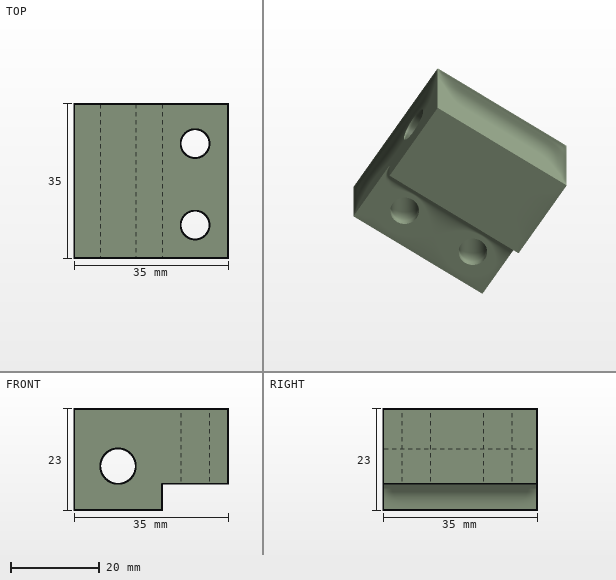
import cadquery as cq

length = 35.0
width = 35.0
height = 23.0

foot_length = 20.0
step_height = 6.0

bore_diameter = 8.0
bore_x = foot_length / 2
bore_z = 10.0

bolt_diameter = 6.5
bolt_x = (foot_length + length) / 2
first_bolt_y = 7.5
bolt_spacing = 18.5


def stepped_block():
    """L-shaped profile in the XZ plane, extruded across the width."""
    return (
        cq.Workplane("XZ")
        .moveTo(0, 0)
        .lineTo(foot_length, 0)
        .lineTo(foot_length, step_height)
        .lineTo(length, step_height)
        .lineTo(length, height)
        .lineTo(0, height)
        .close()
        .extrude(-width)
    )


def cross_bore():
    """Cylinder running through the full width along Y."""
    return (
        cq.Workplane("XZ")
        .center(bore_x, bore_z)
        .circle(bore_diameter / 2)
        .extrude(-width)
    )


def bolt_holes():
    """Pair of vertical cylinders running through the full height."""
    centres = [(bolt_x, first_bolt_y + i * bolt_spacing) for i in range(2)]
    return (
        cq.Workplane("XY")
        .pushPoints(centres)
        .circle(bolt_diameter / 2)
        .extrude(height)
    )


result = stepped_block().cut(cross_bore()).cut(bolt_holes())